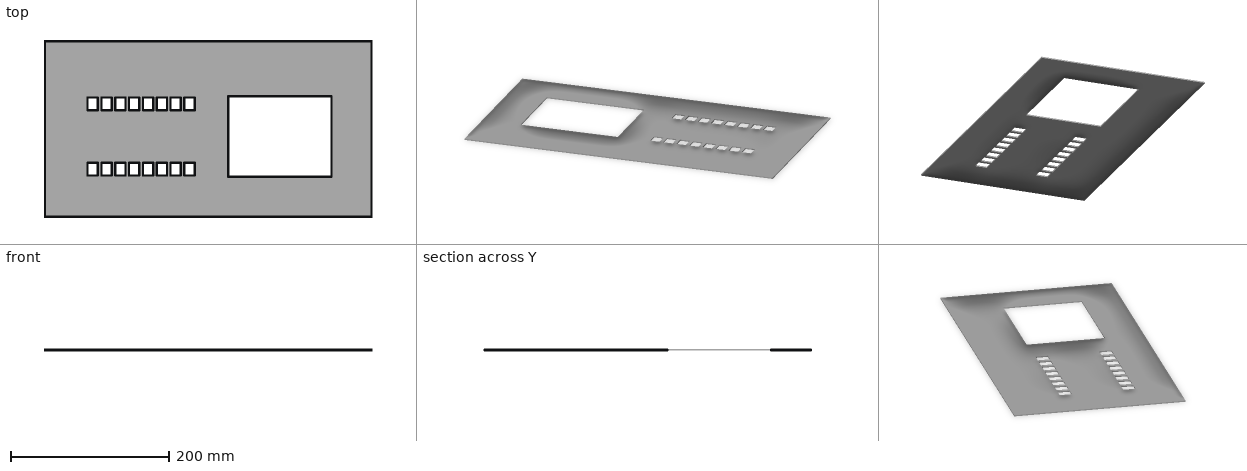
import cadquery as cq

PANEL_LENGTH = 412.75
PANEL_WIDTH = 222.25
PANEL_THICKNESS = 1.5875

WINDOW_LENGTH = 130.175
WINDOW_WIDTH = 101.6
WINDOW_EDGE_MARGIN = 50.8

SLOT_LENGTH = 12.7
SLOT_WIDTH = 15.875
SLOTS_PER_ROW = 8
SLOT_PITCH = 17.48
ROW_SPACING = 82.55
ROW_EDGE_MARGIN = 53.975

window_x = PANEL_LENGTH / 2 - WINDOW_EDGE_MARGIN - WINDOW_LENGTH / 2
window_y = -PANEL_WIDTH / 2 + WINDOW_EDGE_MARGIN + WINDOW_WIDTH / 2
first_slot_x = -PANEL_LENGTH / 2 + ROW_EDGE_MARGIN + SLOT_LENGTH / 2


def make_panel():
    """Solid blank sheet."""
    return cq.Workplane("XY").box(PANEL_LENGTH, PANEL_WIDTH, PANEL_THICKNESS)


def cut_window(panel):
    """Cut the large rectangular opening through the panel."""
    return (
        panel.faces(">Z").workplane(origin=(0, 0, 0))
        .center(window_x, window_y)
        .rect(WINDOW_LENGTH, WINDOW_WIDTH)
        .cutThruAll()
    )


def cut_slot_rows(panel):
    """Cut both slot rows, spaced evenly about the window's centre line."""
    slot_centres = [
        (first_slot_x + column * SLOT_PITCH, window_y + side * ROW_SPACING / 2)
        for side in (-1, 1)
        for column in range(SLOTS_PER_ROW)
    ]
    return (
        panel.faces(">Z").workplane(origin=(0, 0, 0))
        .pushPoints(slot_centres)
        .rect(SLOT_LENGTH, SLOT_WIDTH)
        .cutThruAll()
    )


result = cut_slot_rows(cut_window(make_panel()))